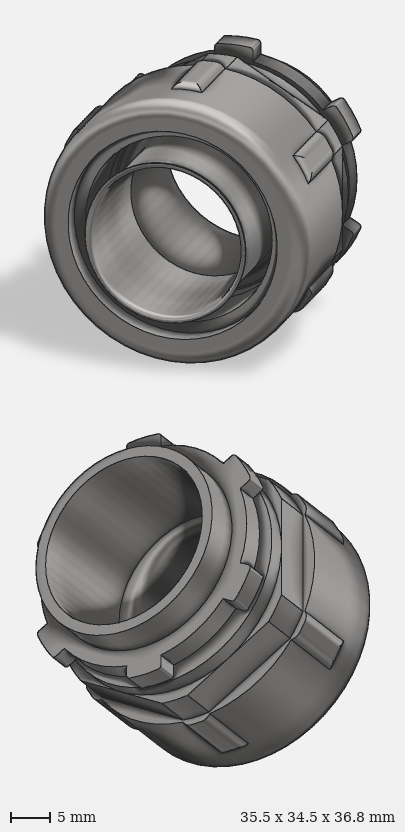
import cadquery as cq
import math


sides = 6
side_angle = 360 / sides

nut_front = 2.95
lip_front = 5.4
spigot_front = 14.15
flange_front = 16.93
nut_back = 17.45
hex_back = 22.52
gasket_back = 24.75
locknut_front = 26.83
locknut_back = 29.85
body_back = 34.5

tube_outer_radius = 20.5 / 2
tube_bore_radius = 20.0 / 2
sheet_thickness = tube_outer_radius - tube_bore_radius
mouth_radius = 21.5 / 2
mouth_bend = 0.4
flange_radius = 24.5 / 2
flange_bend = 1.5
flange_back = flange_front + sheet_thickness

nut_radius = 35.5 / 2
nut_edge_fillet = 2.02
nut_mouth_radius = 28.0 / 2
nut_lip_bore_radius = 25.0 / 2
nut_thread_radius = 29.0 / 2

rib_top = 18.4
rib_fillet = 1.5
rib_flat_width = 1.47
rib_width = rib_flat_width + 2 * rib_fillet
rib_front = 8.17
rib_root = 14.72

seal_bore_radius = nut_lip_bore_radius
seal_radius = 27.5 / 2
foot_angle = 12
foot_rim = flange_front - (seal_bore_radius - flange_radius) * math.tan(math.radians(foot_angle))

hex_across_flats = 32.0
hex_corner_radius = 34.95 / 2
thread_radius = 26.45 / 2
body_bore_radius = tube_outer_radius + flange_bend

locknut_radius = 15.45
lug_tip_radius = 17.3
lug_blank_top = 18.4
lug_width = 5.15
lug_fillet = 0.5


def cylinder(radius, front, back):
    """Solid cylinder about Y between two stations."""
    return cq.Workplane("XZ", origin=(0, front, 0)).circle(radius).extrude(front - back)


def tube(outer_radius, inner_radius, front, back):
    """Plain ring about Y between two stations."""
    return cylinder(outer_radius, front, back).cut(cylinder(inner_radius, front, back))


def spun(outline):
    """Revolve a closed half section, drawn as (radius, Y), about the Y axis."""
    return outline.close().revolve(360, (0, 0, 0), (0, 1, 0))


def block_on_top(width, bottom, top, front, back):
    """Box centred on X = 0, between two heights and two stations."""
    block = cq.Workplane("XY").box(width, back - front, top - bottom, centered=(True, False, False))
    return block.translate((0, front, bottom))


def around_axis(shape, index):
    """Copy of a shape turned about Y to one of the six side positions."""
    return shape.rotate((0, 0, 0), (0, 1, 0), index * side_angle)


def make_rib():
    """Grip rib rounded along both sides and at its front end."""
    rib = block_on_top(rib_width, rib_root, rib_top, rib_front, nut_back)
    return rib.edges(">Z").edges("|Y or <Y").fillet(rib_fillet)


def make_nut():
    """Compression nut with a rounded front edge, grip ribs and a lip that holds the seal ring."""
    shell = cylinder(nut_radius, nut_front, nut_back).faces("<Y").edges().fillet(nut_edge_fillet)
    rib = make_rib()
    for index in range(sides):
        shell = shell.union(around_axis(rib, index))
    bore = spun(
        cq.Workplane("XY")
        .moveTo(0, nut_front)
        .lineTo(nut_mouth_radius, nut_front)
        .lineTo(nut_mouth_radius, lip_front)
        .lineTo(nut_lip_bore_radius, lip_front)
        .lineTo(nut_lip_bore_radius, spigot_front)
        .lineTo(nut_thread_radius, spigot_front)
        .lineTo(nut_thread_radius, nut_back)
        .lineTo(0, nut_back)
    )
    return shell.cut(bore)


def make_ferrule():
    """Sheet-metal sleeve of even thickness, flared at the mouth and flanged at the back."""
    mouth_inner_bend = mouth_bend + sheet_thickness
    flange_inner_bend = flange_bend + sheet_thickness
    return spun(
        cq.Workplane("XY")
        .moveTo(mouth_radius, 0)
        .lineTo(mouth_radius, sheet_thickness)
        .lineTo(tube_outer_radius + mouth_bend, sheet_thickness)
        .radiusArc((tube_outer_radius, mouth_inner_bend), mouth_bend)
        .lineTo(tube_outer_radius, flange_front - flange_bend)
        .radiusArc((body_bore_radius, flange_front), flange_bend)
        .lineTo(flange_radius, flange_front)
        .lineTo(flange_radius, flange_back)
        .lineTo(body_bore_radius, flange_back)
        .radiusArc((tube_bore_radius, flange_back - flange_inner_bend), -flange_inner_bend)
        .lineTo(tube_bore_radius, mouth_inner_bend)
        .radiusArc((tube_bore_radius + mouth_inner_bend, 0), -mouth_inner_bend)
    )


def make_seal_ring():
    """Sleeve inside the body spigot, with a foot around the ferrule flange."""
    return spun(
        cq.Workplane("XY")
        .moveTo(flange_radius, flange_front)
        .lineTo(seal_bore_radius, foot_rim)
        .lineTo(seal_bore_radius, spigot_front)
        .lineTo(seal_radius, spigot_front)
        .lineTo(seal_radius, flange_back)
        .lineTo(flange_radius, flange_back)
    )


def make_body():
    """Hexagon with rounded corners, a spigot for the nut and a thread for the locknut."""
    hexagon = (
        cq.Workplane("XZ", origin=(0, nut_back, 0))
        .polygon(sides, hex_across_flats, circumscribed=True)
        .extrude(nut_back - hex_back)
        .intersect(cylinder(hex_corner_radius, nut_back, hex_back))
    )
    spigot = cylinder(nut_thread_radius, spigot_front, nut_back)
    thread = cylinder(thread_radius, hex_back, body_back)
    seal_seat = cylinder(seal_radius, spigot_front, flange_back)
    bore = cylinder(body_bore_radius, flange_back, body_back)
    return hexagon.union(spigot).union(thread).cut(seal_seat).cut(bore)


def make_gasket():
    """Flat ring behind the hexagon."""
    return tube(hex_across_flats / 2, thread_radius, hex_back, gasket_back)


def make_locknut():
    """Ring with six lugs, each rounded along its tip edges."""
    locknut = cylinder(locknut_radius, locknut_front, locknut_back)
    lug = block_on_top(lug_width, thread_radius, lug_blank_top, locknut_front, locknut_back)
    lug = lug.intersect(cylinder(lug_tip_radius, locknut_front, locknut_back))
    lug = lug.edges("|Y").edges(">Z").fillet(lug_fillet)
    for index in range(sides):
        locknut = locknut.union(around_axis(lug, index))
    return locknut.cut(cylinder(thread_radius, locknut_front, locknut_back))


nut = make_nut()
ferrule = make_ferrule()
seal_ring = make_seal_ring()
body = make_body()
gasket = make_gasket()
locknut = make_locknut()

bodies = [nut, ferrule, seal_ring, body, gasket, locknut]
result = cq.Compound.makeCompound([part.solids().val() for part in bodies])